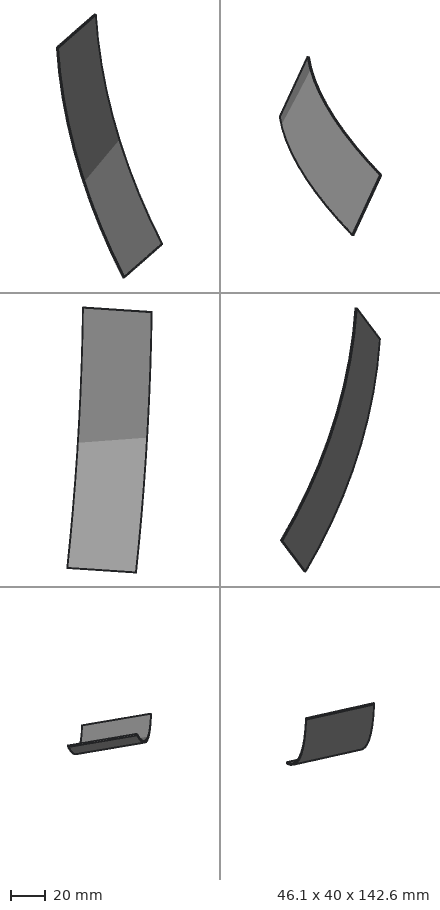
import cadquery as cq
import math

width = 40.0
height = 142.6
thickness = 1.0
outer_radius = 309.1
inner_radius = outer_radius - thickness

top_tilt = math.radians(3.6)
bottom_tilt = math.asin((height + inner_radius * math.sin(top_tilt)) / outer_radius)
middle_tilt = (top_tilt + bottom_tilt) / 2

axis_x = outer_radius * math.cos(top_tilt)
axis_z = outer_radius * math.sin(bottom_tilt)


def bend_point(radius, tilt):
    """Point on a bend circle where the sheet leans by tilt from vertical."""
    return (axis_x - radius * math.cos(tilt), axis_z - radius * math.sin(tilt))


profile = (
    cq.Workplane("XZ")
    .moveTo(*bend_point(outer_radius, top_tilt))
    .threePointArc(
        bend_point(outer_radius, middle_tilt),
        bend_point(outer_radius, bottom_tilt),
    )
    .lineTo(*bend_point(inner_radius, bottom_tilt))
    .threePointArc(
        bend_point(inner_radius, middle_tilt),
        bend_point(inner_radius, top_tilt),
    )
    .close()
)

result = profile.extrude(width / 2, both=True)